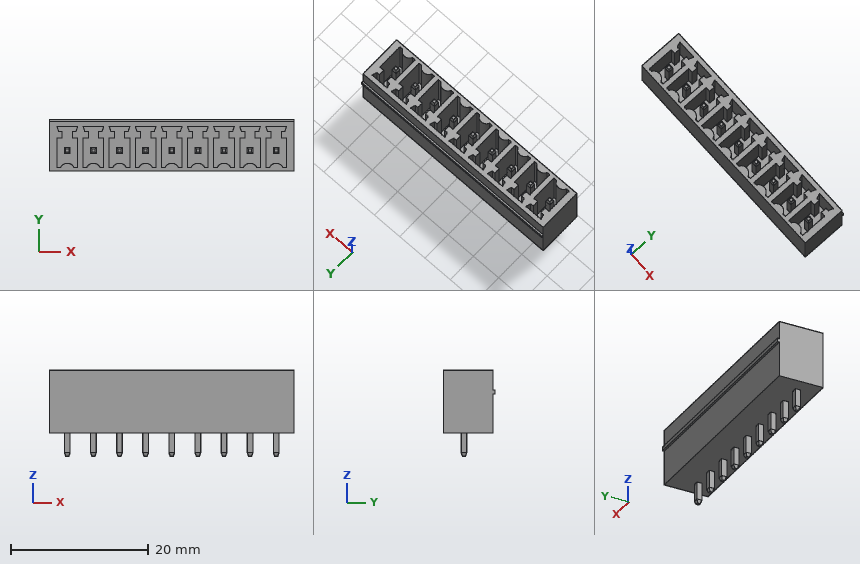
import cadquery as cq


pin_count = 9
pitch = 3.81
pin_size = 0.85
pin_tip_size = 0.45
pin_tip_length = 0.55
pin_tail_length = 3.4
pin_top_z = 7.85

end_margin = 2.6
housing_length = (pin_count - 1) * pitch + 2 * end_margin
housing_depth = 7.25
housing_height = 9.2
front_y = -3.0
back_y = front_y + housing_depth

rib_projection = 0.3
rib_height = 0.6
rib_top_z = housing_height - 2.9

floor_thickness = 1.5
cavity_width = 3.0
neck_width = 1.5
dovetail_narrow_width = 2.5
cavity_back_y = back_y - 0.75
dovetail_front_y = back_y - 1.5
neck_front_y = back_y - 2.45
cavity_front_y = front_y + 0.5
key_width = 2.0
key_rise = 0.65

pin_positions = [((i - (pin_count - 1) / 2) * pitch, 0) for i in range(pin_count)]


def make_housing():
    """Solid block with the full-length rib on its back face."""
    block = cq.Workplane("XY").box(
        housing_length, housing_depth, housing_height, centered=(True, False, False)
    )
    rib = cq.Workplane("XY").box(
        housing_length, housing_depth + rib_projection, rib_height, centered=(True, False, False)
    )
    rib = rib.translate((0, 0, rib_top_z - rib_height))
    return block.union(rib).translate((0, front_y, 0))


def make_cavity():
    """Cavity volume: main chamber, neck and dovetail slot, with the front key left out."""
    half_cavity = cavity_width / 2
    half_neck = neck_width / 2
    half_dovetail = dovetail_narrow_width / 2
    half_key = key_width / 2
    return (
        cq.Workplane("XY")
        .workplane(offset=floor_thickness)
        .moveTo(-half_cavity, cavity_front_y)
        .lineTo(-half_key, cavity_front_y)
        .threePointArc((0, cavity_front_y + key_rise), (half_key, cavity_front_y))
        .lineTo(half_cavity, cavity_front_y)
        .lineTo(half_cavity, neck_front_y)
        .lineTo(half_neck, neck_front_y)
        .lineTo(half_neck, dovetail_front_y)
        .lineTo(half_dovetail, dovetail_front_y)
        .lineTo(half_cavity, cavity_back_y)
        .lineTo(-half_cavity, cavity_back_y)
        .lineTo(-half_dovetail, dovetail_front_y)
        .lineTo(-half_neck, dovetail_front_y)
        .lineTo(-half_neck, neck_front_y)
        .lineTo(-half_cavity, neck_front_y)
        .close()
        .extrude(housing_height - floor_thickness)
    )


def make_pin():
    """Square pin with a tapered tip at both ends."""
    shank_bottom_z = pin_tip_length - pin_tail_length
    shank_top_z = pin_top_z - pin_tip_length
    shank = cq.Workplane("XY").workplane(offset=shank_bottom_z).rect(pin_size, pin_size)
    pin = shank.extrude(shank_top_z - shank_bottom_z)
    for shank_end_z, direction in ((shank_bottom_z, -1), (shank_top_z, 1)):
        tip = (
            cq.Workplane("XY")
            .workplane(offset=shank_end_z)
            .rect(pin_size, pin_size)
            .workplane(offset=direction * pin_tip_length)
            .rect(pin_tip_size, pin_tip_size)
            .loft(ruled=True)
        )
        pin = pin.union(tip)
    return pin


housing = make_housing()
cavity = make_cavity()
pin = make_pin()

result = housing
for x, y in pin_positions:
    result = result.cut(cavity.translate((x, y, 0)))
    result = result.union(pin.translate((x, y, 0)))